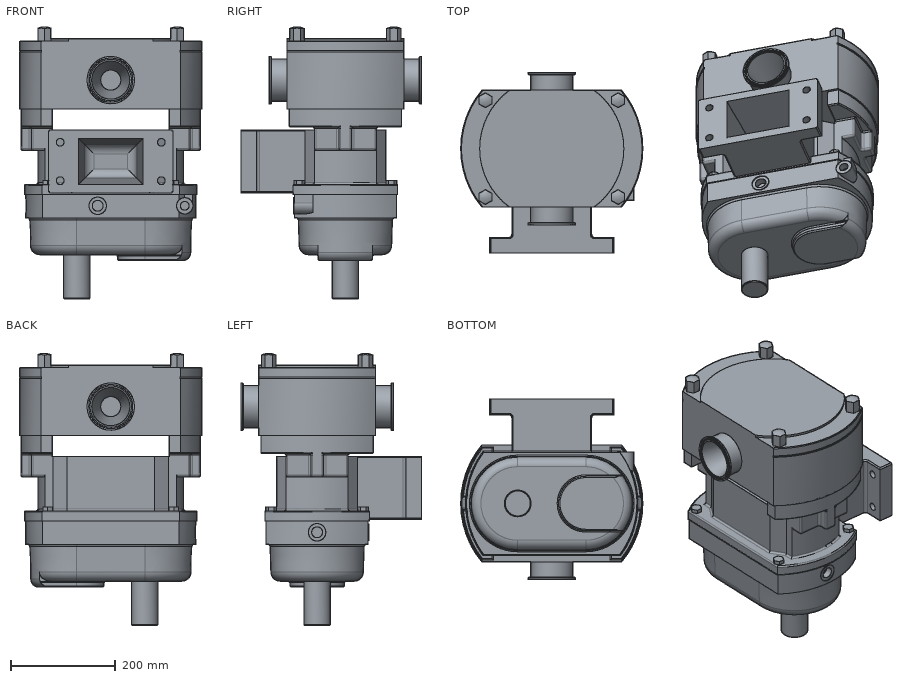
import cadquery as cq
import math

total_height = 522.5

head_radius = 175.0
head_half_depth = 112.5
head_bottom = 364.0
cover_rim_top = 495.5
cover_top = 499.5
cover_raised_radius = 138.5
cover_edge_chamfer = 1.5
joint_groove_top = 477.0
joint_groove_width = 2.5
joint_groove_depth = 1.0

nut_x = 127.5
nut_y = 93.0
nut_across_flats = 24.5
nut_crown_height = 3.5

port_z = 420.0
port_end = 146.5
port_radius = 41.0
port_bore_radius = 36.5
port_bore_end_radius = 19.5
port_bore_depth = 73.0
ferrule_radius = 45.5
ferrule_thickness = 4.5
ferrule_chamfer = 1.5
seal_groove_inner = 39.5
seal_groove_outer = 42.5
seal_groove_depth = 1.5

lobe_radius = 172.5
lobe_half_depth = 108.0
lobe_inner_x = 112.5
lobe_bottom = 329.5
lobe_edge_chamfer = 2.0
wing_bottom = 284.5
wing_half_depth = 59.5
wing_half_width = 152.5
rib_half_depth = 12.0
rib_root_fillet = 4.5
wing_top_flare = 2.5
wing_corner_fillet = 3.0
wing_bottom_fillet = 4.0

housing_radius = 140.0
housing_root_fillet = 3.5
core_half_depth = 78.0
core_shoulder_x = 111.0
core_face_half_width = 83.5

foot_front = -200.5
foot_back = -170.5
foot_half_width = 119.0
foot_top = 324.5
foot_bottom = 203.0
housing_top = foot_top
neck_half_width = 77.0
neck_root_fillet = 6.0
foot_edge_chamfer = 2.5
foot_hole_x = 97.0
foot_hole_z_spacing = 73.5
foot_hole_radius = 7.5
pocket_width = 124.5
pocket_height = 89.0
pocket_depth = 115.0
pocket_draft = 7
pocket_floor_fillet = 18.5

flange_top = 220.0
flange_bottom = 200.0
flange_radius = 165.5
flange_half_depth = 100.5
flange_edge_fillet = 2.5
ring_radius = 163.5
ring_half_depth = 98.0
ring_bottom = 155.5
flange_bolt_x = 121.0
flange_bolt_y = 88.5
flange_bolt_across_flats = 18.5
flange_bolt_height = 7.5

plug_z = 178.5
plug_x = -25.0
plug_rim_radius = 16.5
plug_rim_depth = 1.5
plug_hole_radius = 10.5
plug_hole_depth = 15.5
boss_x = 142.0
boss_radius = 15.5
boss_back = -62.5
boss_front = -99.5
boss_web_x = 156.5
boss_hole_radius = 8.5
boss_hole_depth = 15.5

case_center_x = 65.5
case_radius = 90.5
case_bottom = 84.5
case_top = 151.5
collar_flare = 30
case_draft = 1.7
case_fillet = 18.5
pad_bottom = 73.0
pad_radius = 52.0
pad_corner_fillet = 16.0
pad_edge_chamfer = 2.5
pad_root_flare = 2.5

shaft_radius = 25.5
shaft_chamfer = 1.5

overlap = 2.5

flare_taper = -45


def block(x0, x1, y0, y1, z0, z1):
    """Box between two corners."""
    return cq.Workplane("XY").box(x1 - x0, y1 - y0, z1 - z0, centered=False).translate((x0, y0, z0))


def disc(radius, z0, z1):
    """Cylinder on the Z axis."""
    return cq.Workplane("XY").workplane(offset=z0).circle(radius).extrude(z1 - z0)


def flatted_disc(radius, half_depth, z0, z1):
    """Cylinder on the Z axis with flats facing -Y and +Y."""
    return disc(radius, z0, z1).intersect(block(-radius, radius, -half_depth, half_depth, z0, z1))


def rod_y(x, z, radius, y_front, y_back):
    """Cylinder parallel to Y."""
    return (
        cq.Workplane("XZ", origin=(0, y_back, 0))
        .center(x, z)
        .circle(radius)
        .extrude(y_back - y_front)
    )


def corners(x, y):
    """The four mirrored places of one point."""
    return [(sx * x, sy * y) for sx in (-1, 1) for sy in (-1, 1)]


def corner_radius(across_flats):
    """Distance from the middle of a hexagon to its corners."""
    return across_flats / 2 / math.cos(math.pi / 6)


def hexagons(points, across_flats, z):
    """Hexagon sketches at height z with corners pointing along Y."""
    corner_up = cq.Sketch().regularPolygon(corner_radius(across_flats), 6)
    return cq.Workplane("XY").workplane(offset=z).pushPoints(points).placeSketch(corner_up)


def fillet_uprights(body, places, radius):
    """Fillet the vertical edges at the given XY places and at their mirror images across Y = 0."""
    for x, y in places:
        for side in (-1, 1):
            near = cq.selectors.BoxSelector(
                (x - overlap / 2, side * y - overlap / 2, -total_height),
                (x + overlap / 2, side * y + overlap / 2, total_height),
            )
            body = body.edges("|Z").edges(near).fillet(radius)
    return body


def mirrored_x(body):
    """The body together with its mirror image across X = 0."""
    return body.union(body.mirror("YZ"))


def make_head():
    rim = disc(head_radius, head_bottom, cover_rim_top).faces(">Z").edges().chamfer(cover_edge_chamfer)
    groove_bottom = joint_groove_top - joint_groove_width
    groove = disc(head_radius, groove_bottom, joint_groove_top).cut(
        disc(head_radius - joint_groove_depth, groove_bottom, joint_groove_top)
    )
    between_flats = block(
        -head_radius, head_radius, -head_half_depth, head_half_depth, head_bottom, cover_rim_top
    )
    raised = flatted_disc(cover_raised_radius, head_half_depth, cover_rim_top - overlap, cover_top)
    return rim.cut(groove).intersect(between_flats).union(raised)


def make_nuts():
    places = corners(nut_x, nut_y)
    shank_base = cover_rim_top - overlap
    shanks = hexagons(places, nut_across_flats, shank_base).extrude(total_height - shank_base)
    dome_radius = (corner_radius(nut_across_flats) ** 2 + nut_crown_height**2) / (2 * nut_crown_height)
    domes = (
        cq.Workplane("XY")
        .workplane(offset=total_height - dome_radius)
        .pushPoints(places)
        .sphere(dome_radius, combine=False)
    )
    return shanks.intersect(domes)


def make_front_port():
    tube = rod_y(0, port_z, port_radius, -port_end, -head_half_depth + overlap)
    ferrule = (
        rod_y(0, port_z, ferrule_radius, -port_end, -port_end + ferrule_thickness)
        .faces(">Y").edges().chamfer(ferrule_chamfer)
    )
    return tube.union(ferrule)


def make_front_port_bore():
    face = cq.Workplane("XZ", origin=(0, -port_end, port_z))
    bore = (
        face.circle(port_bore_radius)
        .workplane(offset=-port_bore_depth)
        .circle(port_bore_end_radius)
        .loft()
    )
    seal_groove = face.circle(seal_groove_outer).circle(seal_groove_inner).extrude(-seal_groove_depth)
    return bore.union(seal_groove)


def make_lobes():
    drum = flatted_disc(lobe_radius, lobe_half_depth, lobe_bottom, head_bottom + overlap)
    gap = block(
        -lobe_inner_x, lobe_inner_x, -lobe_half_depth, lobe_half_depth, lobe_bottom, head_bottom + overlap
    )
    return drum.cut(gap).faces("<Z").edges().chamfer(lobe_edge_chamfer)


def make_wing_flare():
    """Widening of the wing and rib walls just under the lobes."""
    start = cq.Workplane("XY").workplane(offset=lobe_bottom - wing_top_flare)
    wing_flare = start.rect(2 * wing_half_width, 2 * wing_half_depth).extrude(
        wing_top_flare, taper=flare_taper
    )
    rib_flare = start.rect(2 * lobe_radius, 2 * rib_half_depth).extrude(wing_top_flare, taper=flare_taper)
    return wing_flare.union(rib_flare).intersect(disc(lobe_radius, wing_bottom, lobe_bottom))


def make_wings():
    top = lobe_bottom + overlap
    rib_end_x = math.sqrt(lobe_radius**2 - rib_half_depth**2)
    plan = block(0, wing_half_width, -wing_half_depth, wing_half_depth, wing_bottom, top).union(
        block(0, lobe_radius, -rib_half_depth, rib_half_depth, wing_bottom, top)
    )
    plan = plan.intersect(disc(lobe_radius, wing_bottom, top))
    outer_corners = [(wing_half_width, wing_half_depth), (rib_end_x, rib_half_depth)]
    roots = [(wing_half_width, rib_half_depth)]
    wing = fillet_uprights(plan, outer_corners, wing_corner_fillet)
    wing = fillet_uprights(wing, roots, rib_root_fillet)
    wing = wing.faces("<Z").edges("not <X").fillet(wing_bottom_fillet)
    window = block(
        -lobe_inner_x, lobe_inner_x, -core_half_depth, core_half_depth, housing_top, top
    )
    return mirrored_x(wing).union(make_wing_flare()).cut(window)


def make_housing():
    barrel = flatted_disc(housing_radius, wing_half_depth, flange_bottom, housing_top)
    octagon = [
        (core_shoulder_x, -wing_half_depth),
        (core_shoulder_x, wing_half_depth),
        (core_face_half_width, core_half_depth),
        (-core_face_half_width, core_half_depth),
        (-core_shoulder_x, wing_half_depth),
        (-core_shoulder_x, -wing_half_depth),
        (-core_face_half_width, -core_half_depth),
        (core_face_half_width, -core_half_depth),
    ]
    core = (
        cq.Workplane("XY")
        .workplane(offset=flange_bottom)
        .polyline(octagon)
        .close()
        .extrude(housing_top - flange_bottom)
    )
    return barrel.union(core)


def make_foot():
    """Foot plate on its neck, and the pocket that also reaches into the housing."""
    center_z = (foot_top + foot_bottom) / 2
    plate = block(-foot_half_width, foot_half_width, foot_front, foot_back, foot_bottom, foot_top)
    neck = block(-neck_half_width, neck_half_width, foot_back - overlap, 0, foot_bottom, foot_top)
    root_selector = cq.selectors.BoxSelector(
        (-neck_half_width - overlap, foot_back - overlap, foot_bottom),
        (neck_half_width + overlap, foot_back + overlap, foot_top),
    )
    foot = plate.union(neck).edges(root_selector).edges("|Z").fillet(neck_root_fillet)
    behind_front = cq.selectors.BoxSelector(
        (-foot_half_width - overlap, foot_front + overlap, foot_bottom - overlap),
        (foot_half_width + overlap, -overlap, foot_top + overlap),
    )
    foot = foot.faces(">Z or <Z").edges(behind_front).chamfer(foot_edge_chamfer)

    pocket = (
        cq.Workplane("XZ", origin=(0, foot_front, center_z))
        .rect(pocket_width, pocket_height)
        .extrude(-pocket_depth, taper=pocket_draft)
        .faces(">Y").edges().fillet(pocket_floor_fillet)
    )
    foot = foot.cut(pocket)
    for x, z_offset in corners(foot_hole_x, foot_hole_z_spacing / 2):
        foot = foot.cut(rod_y(x, center_z + z_offset, foot_hole_radius, foot_front, foot_back))
    return foot, pocket


def make_flanged_housing():
    """Bearing housing on its flange, with a fillet where the two meet."""
    flange = flatted_disc(flange_radius, flange_half_depth, flange_bottom, flange_top)
    flange = flange.faces(">Z").edges().fillet(flange_edge_fillet)
    around_root = cq.selectors.BoxSelector(
        (-housing_radius - overlap, -core_half_depth - overlap, flange_top - overlap),
        (housing_radius + overlap, core_half_depth + overlap, flange_top + overlap),
        boundingbox=True,
    )
    return flange.union(make_housing()).edges(around_root).fillet(housing_root_fillet)


def make_ring():
    """Ring below the flange, with its drain boss and the flange bolt heads."""
    ring = flatted_disc(ring_radius, ring_half_depth, ring_bottom, flange_bottom)
    bolts = hexagons(
        corners(flange_bolt_x, flange_bolt_y), flange_bolt_across_flats, flange_top - overlap
    ).extrude(flange_bolt_height + overlap)
    boss = rod_y(boss_x, plug_z, boss_radius, boss_front, boss_back).union(
        block(boss_x, boss_web_x, -ring_half_depth, boss_back, plug_z, flange_bottom)
    )
    return ring.union(bolts).union(boss)


def drill_ring(body):
    """Counterbored plug holes in the front and left of the ring, and the boss hole."""
    for radius, depth in ((plug_rim_radius, plug_rim_depth), (plug_hole_radius, plug_hole_depth)):
        body = body.cut(rod_y(plug_x, plug_z, radius, -ring_half_depth, -ring_half_depth + depth))
        side_hole = (
            cq.Workplane("YZ", origin=(-ring_radius, 0, plug_z)).circle(radius).extrude(depth)
        )
        body = body.cut(side_hole)
    return body.cut(rod_y(boss_x, plug_z, boss_hole_radius, boss_front, boss_front + boss_hole_depth))


def drafted_case(bottom, bottom_fillet):
    """Stadium-shaped case narrowing downward, with a rounded bottom edge."""
    return (
        cq.Workplane("XY", origin=(0, 0, case_top))
        .slot2D(2 * (case_center_x + case_radius), 2 * case_radius)
        .extrude(bottom - case_top, taper=case_draft)
        .faces("<Z").edges().fillet(bottom_fillet)
    )


def make_case():
    pad_end = case_center_x + case_radius
    pad_outline = (
        cq.Sketch()
        .push([(case_center_x, 0)])
        .circle(pad_radius)
        .reset()
        .push([(case_center_x + case_radius / 2, 0)])
        .rect(case_radius, 2 * pad_radius)
        .reset()
        .clean()
    )
    pad_plan = (
        cq.Workplane("XY", origin=(0, 0, pad_bottom))
        .placeSketch(pad_outline)
        .extrude(case_top - pad_bottom)
        .faces("<Z").edges().chamfer(pad_edge_chamfer)
    )
    flare = (
        cq.Workplane("XY", origin=(0, 0, case_bottom - pad_root_flare))
        .placeSketch(pad_outline)
        .extrude(pad_root_flare, taper=flare_taper)
    )
    pad_plan = pad_plan.union(flare)
    pad = drafted_case(pad_bottom, pad_corner_fillet).intersect(pad_plan)
    collar = (
        cq.Workplane("XY", origin=(0, 0, case_top))
        .slot2D(2 * pad_end, 2 * case_radius)
        .extrude(ring_bottom - case_top, taper=-collar_flare)
    )
    return drafted_case(case_bottom, case_fillet).union(pad).union(collar)


def make_shaft():
    shaft = disc(shaft_radius, 0, case_bottom + overlap).faces("<Z").edges().chamfer(shaft_chamfer)
    return shaft.translate((-case_center_x, 0, 0))


foot, foot_pocket = make_foot()
gearcase = drill_ring(make_ring()).union(make_case()).union(make_shaft())
support = make_flanged_housing().union(make_wings()).union(make_lobes()).cut(foot_pocket).union(foot)

port = make_front_port()
port_bore = make_front_port_bore()
head = make_head().union(make_nuts())
head = head.union(port).union(port.mirror("XZ")).cut(port_bore).cut(port_bore.mirror("XZ"))

result = gearcase.union(support).union(head)